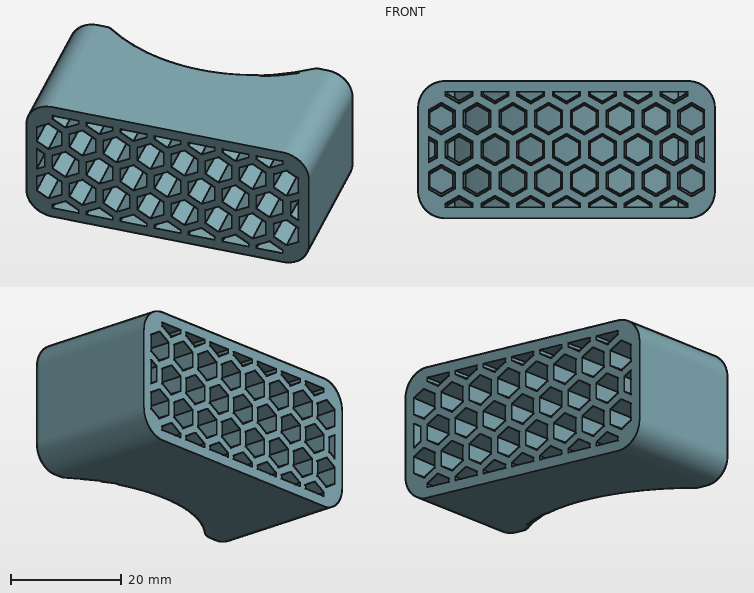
import cadquery as cq
import math

WIDTH = 54.0
DEPTH = 27.0
HEIGHT = 25.0
CORNER_RADIUS = 5.0
FRONT_Y = -DEPTH / 2
BACK_Y = DEPTH / 2

SADDLE_RADIUS = 31.0
SADDLE_SAG = 7.0
SADDLE_CENTER_Y = BACK_Y - SADDLE_SAG + SADDLE_RADIUS
BACK_FILLET = 1.5

WALL = 2.0
CELL_SIDES = 6
CELL_FLATS = 5.0
RIB = 1.5
CELL_DRAFT = 1.0
POINT_UP_ANGLE = 180.0 / CELL_SIDES
CELL_DEPTH = DEPTH - WALL
CELL_CORNER_DIAMETER = CELL_FLATS / math.cos(math.pi / CELL_SIDES)
COLUMN_PITCH = CELL_FLATS + RIB
ROW_PITCH = COLUMN_PITCH * math.sin(math.pi / 3)

CELLS_IN_ROW = {0: 9, 1: 8, 2: 7}


def saddle_cylinder(radius):
    """Cylinder about the saddle axis, longer than the block is tall."""
    return cq.Workplane("XY").center(0, SADDLE_CENTER_Y).circle(radius).extrude(HEIGHT, both=True)


def make_body():
    """Rounded block with the saddle cut and the edges around the back and saddle rounded over."""
    block = cq.Workplane("XY").box(WIDTH, DEPTH, HEIGHT).edges("|Y").fillet(CORNER_RADIUS)
    scooped = block.cut(saddle_cylinder(SADDLE_RADIUS))
    back_region = cq.selectors.BoxSelector(
        (-WIDTH, BACK_Y - SADDLE_SAG, -HEIGHT),
        (WIDTH, DEPTH, HEIGHT),
    )
    return scooped.edges(back_region).fillet(BACK_FILLET)


def cell_centers():
    """X and Z of every cell, alternate rows shifted by half a pitch."""
    last_row = max(CELLS_IN_ROW)
    centers = []
    for row in range(-last_row, last_row + 1):
        count = CELLS_IN_ROW[abs(row)]
        for column in range(count):
            x = (column - (count - 1) / 2) * COLUMN_PITCH
            centers.append((x, row * ROW_PITCH))
    return centers


def make_cavity():
    """Space the cells may fill: the block shrunk by the wall at the sides and the back."""
    cavity = cq.Workplane("XY").box(WIDTH - 2 * WALL, CELL_DEPTH, HEIGHT - 2 * WALL)
    cavity = cavity.translate((0, -WALL / 2, 0))
    return cavity.cut(saddle_cylinder(SADDLE_RADIUS + WALL))


def make_cells():
    """All hexagonal cells, clipped to the cavity."""
    front = cq.Workplane("XZ", origin=(0, FRONT_Y, 0)).transformed(rotate=(0, 0, POINT_UP_ANGLE))
    cell = front.polygon(CELL_SIDES, CELL_CORNER_DIAMETER).extrude(-CELL_DEPTH, taper=CELL_DRAFT)
    cavity = make_cavity()
    cells = cq.Workplane("XY")
    for x, z in cell_centers():
        cells = cells.add(cell.translate((x, 0, z)).intersect(cavity))
    return cq.Workplane(cq.Compound.makeCompound(cells.vals()))


result = make_body().cut(make_cells())